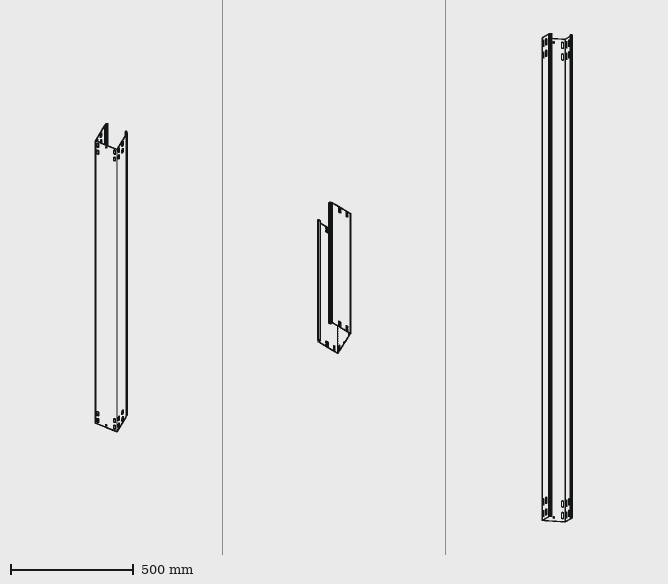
import cadquery as cq
import math

LENGTH = 2000.0
WIDTH = 100.0
DEPTH = 100.0
SHEET = 2.0

GROOVE_TOP_DROP = 5.0
GROOVE_BOTTOM_DROP = 10.0
GROOVE_START_DROP = 12.0
GROOVE_INSET = 5.0
CREST_INSET = 5.0
RETURN_INSET = 10.0
RETURN_DROP = 10.0

SLOT_LENGTH = 25.0
SLOT_WIDTH = 8.0
WIDE_SLOT_WIDTH = 12.0
END_TO_FIRST_SLOT = 25.0
SLOT_PITCH = 48.0
BASE_SLOT_X = 38.0
WALL_SLOT_Y = -32.0
WALL_WIDE_SLOT_Y = 2.0

HOLE_DIAMETER = 5.0
END_TO_HOLE = 15.0

HALF_LENGTH = LENGTH / 2
HALF_WIDTH = WIDTH / 2
HALF_DEPTH = DEPTH / 2


def left_normal(start, end):
    """Unit vector pointing to the left of the direction from start to end."""
    dx = end[0] - start[0]
    dy = end[1] - start[1]
    length = math.hypot(dx, dy)
    return -dy / length, dx / length


def offset_left(path, distance):
    """Open path shifted to its left, with sharp mitred corners."""
    normals = [left_normal(start, end) for start, end in zip(path, path[1:])]
    before = normals[:1] + normals
    after = normals + normals[-1:]
    shifted = []
    for (x, y), (ax, ay), (bx, by) in zip(path, before, after):
        mitre = distance / (1 + ax * bx + ay * by)
        shifted.append((x + mitre * (ax + bx), y + mitre * (ay + by)))
    return shifted


def channel():
    """Folded sheet channel, made as one half and mirrored."""
    outer_face = [
        (0, -HALF_DEPTH),
        (HALF_WIDTH, -HALF_DEPTH),
        (HALF_WIDTH, HALF_DEPTH - GROOVE_START_DROP),
        (HALF_WIDTH - GROOVE_INSET, HALF_DEPTH - GROOVE_BOTTOM_DROP),
        (HALF_WIDTH, HALF_DEPTH - GROOVE_TOP_DROP),
        (HALF_WIDTH - CREST_INSET, HALF_DEPTH),
        (HALF_WIDTH - RETURN_INSET, HALF_DEPTH),
        (HALF_WIDTH - RETURN_INSET, HALF_DEPTH - RETURN_DROP),
    ]
    inner_face = offset_left(outer_face, SHEET)
    half = (
        cq.Workplane("XY", origin=(0, 0, -HALF_LENGTH))
        .polyline(outer_face + inner_face[::-1])
        .close()
        .extrude(LENGTH)
    )
    return half.union(half.mirror("YZ")).clean()


def both_ends(*distances):
    """Z positions lying at the given distances from each end of the channel."""
    return [side * (HALF_LENGTH - distance) for side in (-1, 1) for distance in distances]


slot_heights = both_ends(END_TO_FIRST_SLOT, END_TO_FIRST_SLOT + SLOT_PITCH)


def base_plane():
    """Plane on the inner face of the base; extruding from it cuts outward."""
    return cq.Workplane("XZ", origin=(0, SHEET - HALF_DEPTH, 0))


def base_slots():
    """Cutters for the slots in the base, near both side walls."""
    return (
        base_plane()
        .pushPoints([(side * BASE_SLOT_X, z) for side in (-1, 1) for z in slot_heights])
        .slot2D(SLOT_LENGTH, SLOT_WIDTH, 90)
        .extrude(SHEET)
    )


def base_holes():
    """Cutters for the round holes in the base."""
    return (
        base_plane()
        .pushPoints([(0, z) for z in both_ends(END_TO_HOLE)])
        .circle(HOLE_DIAMETER / 2)
        .extrude(SHEET)
    )


def wall_slots(y, slot_width):
    """Cutters for slots that pass through both side walls."""
    return (
        cq.Workplane("YZ")
        .pushPoints([(y, z) for z in slot_heights])
        .slot2D(SLOT_LENGTH, slot_width, 90)
        .extrude(HALF_WIDTH, both=True)
    )


result = (
    channel()
    .cut(base_slots())
    .cut(base_holes())
    .cut(wall_slots(WALL_SLOT_Y, SLOT_WIDTH))
    .cut(wall_slots(WALL_WIDE_SLOT_Y, WIDE_SLOT_WIDTH))
)